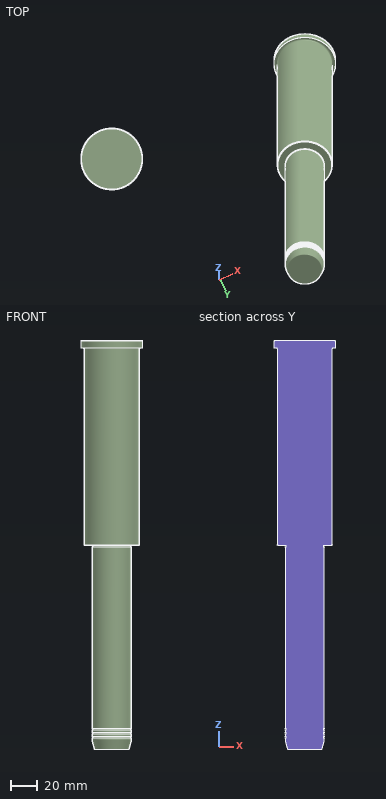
import cadquery as cq
import math

total_length = 311.0
flange_diameter = 47.0
flange_thickness = 6.0
sleeve_diameter = 42.0
sleeve_length = 150.0
pin_diameter = 30.0

edge_chamfer = 0.5
flange_root_fillet = 1.0

tip_length = 7.0
tip_half_angle = 15.0
tip_end_fillet = 0.5

groove_depth = 0.5
groove_width = 1.0
groove_pitch = 3.0
tip_groove_count = 3
first_groove_bottom = 9.0

flange_bottom = total_length - flange_thickness
sleeve_bottom = flange_bottom - sleeve_length
pin_radius = pin_diameter / 2
tip_end_radius = pin_radius - tip_length * math.tan(math.radians(tip_half_angle))


def cylinder(diameter, bottom, height):
    return cq.Workplane("XY").workplane(offset=bottom).circle(diameter / 2).extrude(height)


def make_pin():
    """Plain pin with a conical tip, rounded at its lower end."""
    pin = (
        cq.Workplane("XZ")
        .lineTo(tip_end_radius, 0)
        .lineTo(pin_radius, tip_length)
        .lineTo(pin_radius, sleeve_bottom)
        .lineTo(0, sleeve_bottom)
        .close()
        .revolve(360, (0, 0, 0), (0, 1, 0))
    )
    return pin.faces("<Z").edges().fillet(tip_end_fillet)


def make_head():
    """Sleeve and flange, with a filleted corner between them."""
    sleeve_radius = sleeve_diameter / 2
    flange_radius = flange_diameter / 2
    root_radius = sleeve_radius + flange_root_fillet
    root_bottom = flange_bottom - flange_root_fillet
    head = (
        cq.Workplane("XZ")
        .moveTo(0, sleeve_bottom)
        .lineTo(sleeve_radius, sleeve_bottom)
        .lineTo(sleeve_radius, root_bottom)
        .radiusArc((root_radius, flange_bottom), flange_root_fillet)
        .lineTo(flange_radius, flange_bottom)
        .lineTo(flange_radius, total_length)
        .lineTo(0, total_length)
        .close()
        .revolve(360, (0, 0, 0), (0, 1, 0))
    )
    head = head.faces("<Z").edges().chamfer(edge_chamfer)
    return head.faces(">Z").edges().chamfer(edge_chamfer)


def make_groove(bottom):
    """Ring removed from the pin to form one groove."""
    outer = cylinder(pin_diameter, bottom, groove_width)
    inner = cylinder(pin_diameter - 2 * groove_depth, bottom, groove_width)
    return outer.cut(inner)


groove_bottoms = [first_groove_bottom + i * groove_pitch for i in range(tip_groove_count)]
groove_bottoms.append(sleeve_bottom - groove_width)

result = make_pin().union(make_head())
for groove_bottom in groove_bottoms:
    result = result.cut(make_groove(groove_bottom))